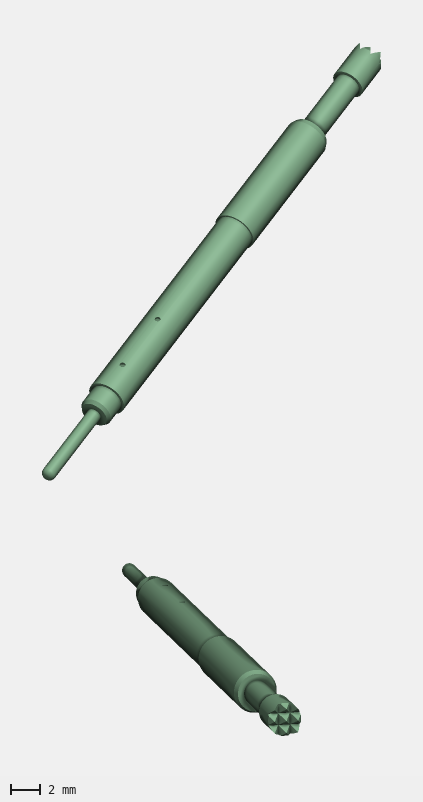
import cadquery as cq
import math

length = 43.3

crown_diameter = 2.3
plunger_diameter = 1.78
collar_diameter = 3.0
barrel_diameter = 2.73
tail_diameter = 2.3
pin_diameter = 1.0

crown_length = 3.05
plunger_length = 5.05
collar_length = 10.05
barrel_length = 17.05
tail_length = 1.65

collar_chamfer_length = 0.45
collar_chamfer_depth = 0.17
tail_chamfer_length = 0.25
tail_chamfer_depth = 0.17
pin_round = 0.45

tooth_pitch = 0.82
groove_angle = 60.0
grooves_per_direction = 4

crimp_diameter = 0.4
crimp_depth = 0.17
crimp_spacing = 4.68
crimp_offset = 2.12

crown_base = length - crown_length
collar_front = crown_base - plunger_length
collar_end = collar_front - collar_length
barrel_end = collar_end - barrel_length
tail_end = barrel_end - tail_length


def rod(start, end, diameter):
    """Solid cylinder on the Y axis between two stations."""
    return cq.Workplane("XZ", origin=(0, end, 0)).circle(diameter / 2).extrude(end - start)


def make_collar():
    collar = rod(collar_end, collar_front, collar_diameter)
    return collar.faces(">Y").chamfer(collar_chamfer_length, collar_chamfer_depth)


def make_tail():
    tail = rod(tail_end, barrel_end, tail_diameter)
    return tail.faces("<Y").chamfer(tail_chamfer_length, tail_chamfer_depth)


def make_pin():
    return rod(0, tail_end, pin_diameter).faces("<Y").edges().fillet(pin_round)


def make_groove(offset):
    """V groove running along Z through the crown, centred at X = offset."""
    half_width = tooth_pitch / 2
    depth = half_width / math.tan(math.radians(groove_angle / 2))
    return (
        cq.Workplane("XY")
        .moveTo(offset - half_width, length)
        .lineTo(offset, length - depth)
        .lineTo(offset + half_width, length)
        .close()
        .extrude(crown_diameter, both=True)
    )


def make_crown():
    crown = rod(crown_base, length, crown_diameter)
    for index in range(grooves_per_direction):
        offset = (index - (grooves_per_direction - 1) / 2) * tooth_pitch
        groove = make_groove(offset)
        crown = crown.cut(groove)
        crown = crown.cut(groove.rotate((0, 0, 0), (0, 1, 0), 90))
    return crown


def make_crimp_mark(station):
    floor = barrel_diameter / 2 - crimp_depth
    mark = cq.Workplane("XY", origin=(0, station, floor))
    return mark.circle(crimp_diameter / 2).extrude(barrel_diameter)


def make_barrel():
    barrel = rod(barrel_end, collar_end, barrel_diameter)
    first_mark = barrel_end + crimp_offset
    for station in (first_mark, first_mark + crimp_spacing):
        barrel = barrel.cut(make_crimp_mark(station))
    return barrel


plunger = rod(collar_front, crown_base, plunger_diameter)
result = (
    make_crown()
    .union(plunger)
    .union(make_collar())
    .union(make_barrel())
    .union(make_tail())
    .union(make_pin())
)